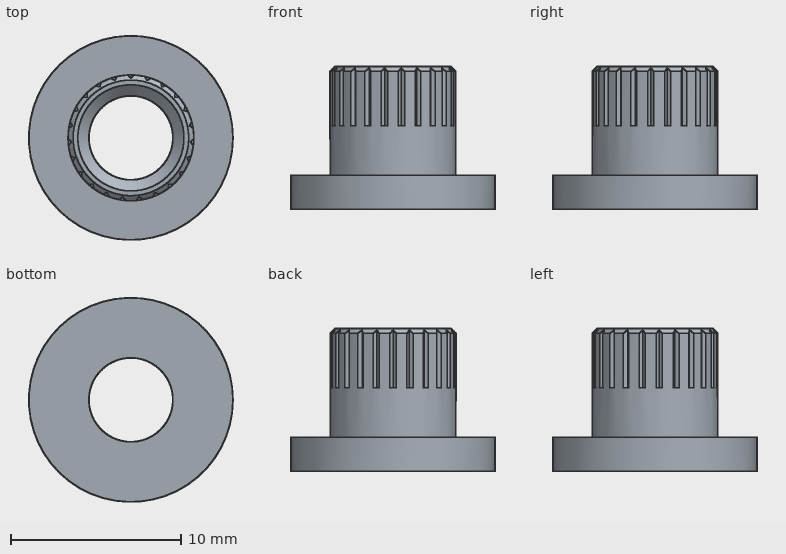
import cadquery as cq
import math

flange_diameter = 12
flange_thickness = 2.0

total_height = 8.4
sleeve_diameter = 7.39
sleeve_chamfer = 0.3

bore_diameter = 4.92
countersink_diameter = 6.24
countersink_angle = 90

groove_count = 23
groove_length = 3.5
groove_depth = 0.19
groove_angle = 90


def make_body():
    """Flange and sleeve, with the top outer edge of the sleeve chamfered."""
    flange = cq.Workplane("XY").circle(flange_diameter / 2).extrude(flange_thickness)
    sleeve = cq.Workplane("XY").circle(sleeve_diameter / 2).extrude(total_height)
    sleeve = sleeve.faces(">Z").edges().chamfer(sleeve_chamfer)
    return flange.union(sleeve)


def cut_bore(body):
    """Through bore, opened out by a cone at the top."""
    return body.faces(">Z").workplane().cskHole(bore_diameter, countersink_diameter, countersink_angle)


def make_grooves():
    """Ring of V-shaped cutters, the first one on the +Y side."""
    sleeve_radius = sleeve_diameter / 2
    root_radius = sleeve_radius - groove_depth
    mouth_radius = sleeve_radius + groove_depth
    mouth_half_width = (mouth_radius - root_radius) * math.tan(math.radians(groove_angle / 2))
    cutter = (
        cq.Workplane("XY", origin=(0, 0, total_height - groove_length))
        .moveTo(0, root_radius)
        .lineTo(mouth_half_width, mouth_radius)
        .lineTo(-mouth_half_width, mouth_radius)
        .close()
        .extrude(groove_length)
    )
    cutters = cq.Workplane("XY")
    for index in range(groove_count):
        angle = index * 360 / groove_count
        cutters = cutters.add(cutter.rotate((0, 0, 0), (0, 0, 1), angle))
    return cutters.combine()


result = cut_bore(make_body()).cut(make_grooves())